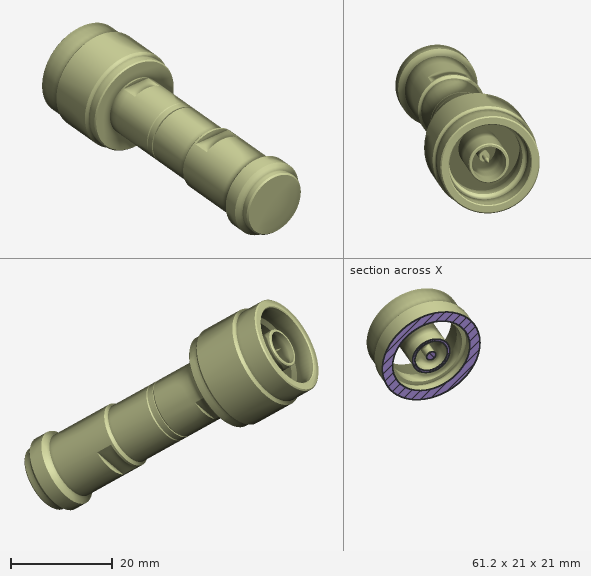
import cadquery as cq

overall_length = 61.2

barrel_radius = 6.25
seam_chamfer = 0.3
spacer_start = 29.0
spacer_width = 1.3
spacer_end = spacer_start + spacer_width

flat_half_gap = 5.45
flat_width = 3.5
plug_flat_start = 17.4
socket_flat_start = 41.3

nut_length = 17.0
nut_diameter = 21.0
nut_radius = nut_diameter / 2
nut_end_diameter = 19.9
nut_end_radius = nut_end_diameter / 2
nut_step = nut_radius - nut_end_radius
nut_edge_chamfer = 0.25
nut_band_start = 4.9
nut_band_end = 15.0
nut_mouth_radius = 8.2
nut_mouth_chamfer = 0.2
nut_mouth_depth = 4.2
nut_throat_start = 4.9
nut_throat_end = 7.45
nut_throat_radius = 7.35
recess_radius = 8.2
recess_end = 14.7

flange_start = 12.25
sleeve_start = 1.15
sleeve_radius = 4.05
sleeve_bore_radius = 3.4
sleeve_chamfer = 0.2
pin_tip = 1.6
pin_cone_length = 1.95
pin_cone_radius = 0.5
pin_shoulder = 6.1
pin_radius = 1.05

socket_radius = 6.8
socket_shoulder_start = 40.3
collar_start = 54.65
collar_end = 59.6
collar_radius = 7.95
collar_front_bevel = 1.1
collar_rear_bevel = 0.9
socket_end_chamfer = 0.3


def revolve_about_x(profile):
    """Turn a closed (x, radius) profile into a solid of revolution about the X axis."""
    return cq.Workplane("XY").polyline(profile).close().revolve(360, (0, 0, 0), (1, 0, 0))


def cut_wrench_flats(body, start):
    """Cut two opposite flats, facing up and down, into a round body."""
    cut_size = 2 * nut_radius
    for side in (1, -1):
        cutter = cq.Workplane("XY").box(flat_width, cut_size, cut_size).translate(
            (start + flat_width / 2, 0, side * (flat_half_gap + cut_size / 2))
        )
        body = body.cut(cutter)
    return body


def make_nut():
    """Coupling nut with a raised band, a stepped bore and a lip behind the plug flange."""
    return revolve_about_x([
        (0, nut_mouth_radius + nut_mouth_chamfer),
        (0, nut_end_radius - nut_edge_chamfer),
        (nut_edge_chamfer, nut_end_radius),
        (nut_band_start, nut_end_radius),
        (nut_band_start + nut_step, nut_radius),
        (nut_band_end - nut_step, nut_radius),
        (nut_band_end, nut_end_radius),
        (nut_length - nut_edge_chamfer, nut_end_radius),
        (nut_length, nut_end_radius - nut_edge_chamfer),
        (nut_length, barrel_radius),
        (recess_end, barrel_radius),
        (recess_end, recess_radius),
        (nut_throat_end, recess_radius),
        (nut_throat_end, nut_throat_radius),
        (nut_throat_start, nut_throat_radius),
        (nut_mouth_depth, nut_mouth_radius),
        (nut_mouth_chamfer, nut_mouth_radius),
    ])


def make_plug():
    """Plug barrel with its flange, hollow sleeve and pointed, shouldered pin."""
    plug = revolve_about_x([
        (pin_tip, 0),
        (pin_tip + pin_cone_length, pin_cone_radius),
        (pin_shoulder, pin_cone_radius),
        (pin_shoulder, pin_radius),
        (flange_start, pin_radius),
        (flange_start, sleeve_bore_radius),
        (sleeve_start, sleeve_bore_radius),
        (sleeve_start, sleeve_radius - sleeve_chamfer),
        (sleeve_start + sleeve_chamfer, sleeve_radius),
        (flange_start, sleeve_radius),
        (flange_start, recess_radius),
        (recess_end, recess_radius),
        (recess_end, barrel_radius),
        (spacer_start - seam_chamfer, barrel_radius),
        (spacer_start, barrel_radius - seam_chamfer),
        (spacer_start, 0),
    ])
    return cut_wrench_flats(plug, plug_flat_start)


def make_spacer():
    """Plain disc clamped between the plug and the socket."""
    return revolve_about_x([
        (spacer_start, 0),
        (spacer_start, barrel_radius),
        (spacer_end, barrel_radius),
        (spacer_end, 0),
    ])


def make_socket():
    """Socket barrel with a wider rear section and a bevelled collar near its end."""
    socket = revolve_about_x([
        (spacer_end, 0),
        (spacer_end, barrel_radius - seam_chamfer),
        (spacer_end + seam_chamfer, barrel_radius),
        (socket_shoulder_start, barrel_radius),
        (socket_shoulder_start + socket_radius - barrel_radius, socket_radius),
        (collar_start, socket_radius),
        (collar_start + collar_front_bevel, collar_radius),
        (collar_end - collar_rear_bevel, collar_radius),
        (collar_end, socket_radius),
        (overall_length - socket_end_chamfer, socket_radius),
        (overall_length, socket_radius - socket_end_chamfer),
        (overall_length, 0),
    ])
    return cut_wrench_flats(socket, socket_flat_start)


nut = make_nut()
plug = make_plug()
spacer = make_spacer()
socket = make_socket()

result = cq.Compound.makeCompound([nut.val(), plug.val(), spacer.val(), socket.val()])